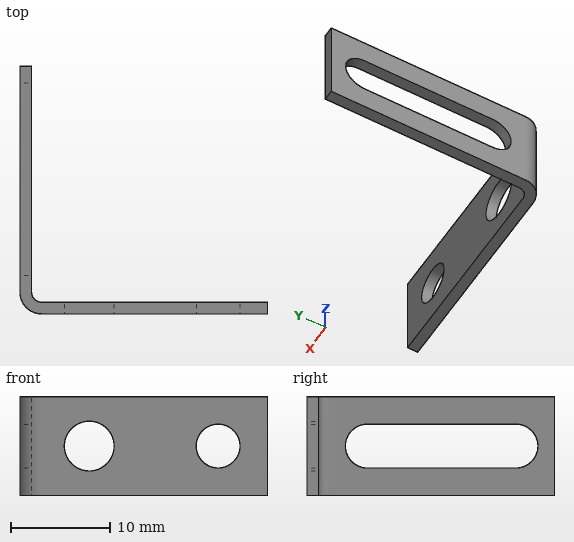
import cadquery as cq

leg_length = 25.0
width = 10.0
thickness = 1.2
inner_bend_radius = 1.0
outer_bend_radius = inner_bend_radius + thickness

large_hole_diameter = 5.0
large_hole_x = 7.0
small_hole_diameter = 4.4
small_hole_x = 20.0

slot_width = small_hole_diameter
slot_travel = 15.0
slot_center_y = 13.6

mid_height = width / 2


def bent_strip():
    """L-shaped strip with concentric inner and outer bend radii."""
    outer = cq.Workplane("XY").rect(leg_length, leg_length, centered=False).extrude(width)
    outer = outer.edges("|Z and <X and <Y").fillet(outer_bend_radius)
    inner_length = leg_length - thickness
    inner = (
        cq.Workplane("XY")
        .move(thickness, thickness)
        .rect(inner_length, inner_length, centered=False)
        .extrude(width)
        .edges("|Z and <X and <Y")
        .fillet(inner_bend_radius)
    )
    return outer.cut(inner)


def round_hole(x, diameter):
    """Cutter through the leg along X."""
    return cq.Workplane("XZ").center(x, mid_height).circle(diameter / 2).extrude(-thickness)


def slot():
    """Cutter through the leg along Y, with semicircular ends."""
    return (
        cq.Workplane("YZ")
        .center(slot_center_y, mid_height)
        .slot2D(slot_travel + slot_width, slot_width)
        .extrude(thickness)
    )


result = bent_strip()
for hole_x, hole_diameter in (
    (large_hole_x, large_hole_diameter),
    (small_hole_x, small_hole_diameter),
):
    result = result.cut(round_hole(hole_x, hole_diameter))
result = result.cut(slot())